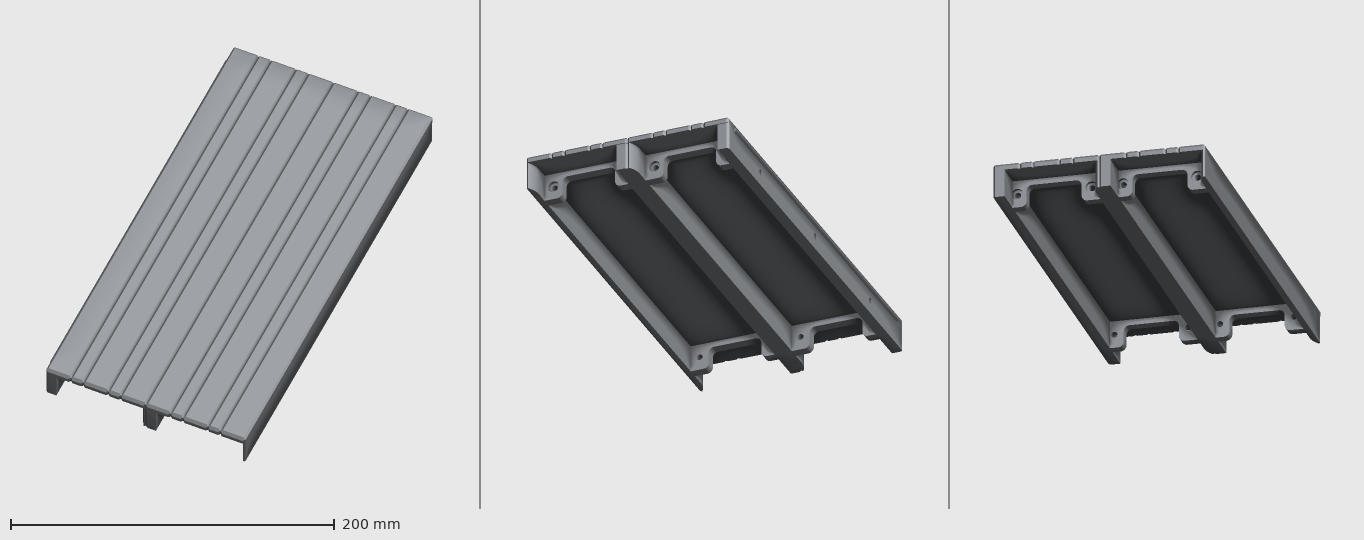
import cadquery as cq
import math

LENGTH = 281.5
HEIGHT = 22.0
WIDE_PLANK = 17.0
NARROW_PLANK = 8.5
PLANKS = (WIDE_PLANK, NARROW_PLANK, WIDE_PLANK, NARROW_PLANK, WIDE_PLANK)
MODULE_WIDTH = sum(PLANKS)
MODULE_COUNT = 2
HALF_LENGTH = LENGTH / 2
HALF_WIDTH = MODULE_WIDTH * MODULE_COUNT / 2
MODULE_STARTS = [-HALF_WIDTH + i * MODULE_WIDTH for i in range(MODULE_COUNT)]

GROOVE_DEPTH = 1.27
DECK_THICKNESS = 4.2
DECK_BOTTOM = HEIGHT - DECK_THICKNESS
END_CHAMFER = 1.7

LEFT_WALL = 7.3
RIGHT_WALL = 4.2
REAR_SETBACK = 0.5
WALL_REAR = HALF_LENGTH - REAR_SETBACK
TAPER_LENGTH = 9.9
TAPER_TIP = 0.8

RIB_SETBACK = 19.7
RIB_THICKNESS = 6.8
OPENING_WIDTH = 35.2
OPENING_HEIGHT = 14.0
OPENING_RADIUS = 3.7

HOLE_DIAMETER = 4.0
COUNTERBORE_DIAMETER = 7.3
COUNTERBORE_DEPTH = 2.3
HOLE_HEIGHT = 8.7
RIB_HOLE_OFFSET = 23.7
SIDE_HOLE_PITCH = 88.5
SIDE_HOLE_DEPTH = 1.0

TONGUE_LENGTH = 262.5
TONGUE_REACH = 1.5
TONGUE_HEIGHT = 17.2
TONGUE_ROOT = 3.0
TONGUE_TIP = 0.8


def box(x_range, y_range, z_range):
    """Box spanning the given (low, high) range along each axis."""
    lows, highs = zip(x_range, y_range, z_range)
    sizes = [high - low for low, high in zip(lows, highs)]
    return cq.Workplane("XY").box(*sizes, centered=False).translate(lows)


def make_deck():
    """Top plate with both end edges chamfered."""
    deck = box((-HALF_WIDTH, HALF_WIDTH), (-HALF_LENGTH, HALF_LENGTH), (DECK_BOTTOM, HEIGHT))
    return deck.faces(">Z").edges("|X").chamfer(END_CHAMFER)


def make_right_wall(x_end):
    """Thin wall whose inner face curves outward to a narrow tip at both ends."""
    x_inner = x_end - RIGHT_WALL
    taper_width = RIGHT_WALL - TAPER_TIP
    radius = (TAPER_LENGTH**2 + taper_width**2) / (2 * taper_width)
    half_angle = math.atan2(taper_width, TAPER_LENGTH)
    x_middle = x_inner + radius * (1 - math.cos(half_angle))
    y_middle = TAPER_LENGTH - radius * math.sin(half_angle)
    return (
        cq.Workplane("XY")
        .moveTo(x_end, -HALF_LENGTH)
        .lineTo(x_end - TAPER_TIP, -HALF_LENGTH)
        .threePointArc((x_middle, -HALF_LENGTH + y_middle), (x_inner, -HALF_LENGTH + TAPER_LENGTH))
        .lineTo(x_inner, WALL_REAR - TAPER_LENGTH)
        .threePointArc((x_middle, WALL_REAR - y_middle), (x_end - TAPER_TIP, WALL_REAR))
        .lineTo(x_end, WALL_REAR)
        .close()
        .extrude(DECK_BOTTOM)
    )


def make_rib(x_start):
    """Cross rib at the front end, with a rounded opening and two counterbored holes."""
    x_mid = x_start + MODULE_WIDTH / 2
    x_left = x_mid - OPENING_WIDTH / 2
    x_right = x_mid + OPENING_WIDTH / 2
    x_end = x_start + MODULE_WIDTH - RIGHT_WALL
    y_front = -HALF_LENGTH + RIB_SETBACK
    rib = (
        cq.Workplane("XZ", origin=(0, y_front, 0))
        .polyline([
            (x_start, 0),
            (x_left, 0),
            (x_left, OPENING_HEIGHT),
            (x_right, OPENING_HEIGHT),
            (x_right, 0),
            (x_end, 0),
            (x_end, DECK_BOTTOM),
            (x_start, DECK_BOTTOM),
        ])
        .close()
        .extrude(-RIB_THICKNESS)
    )
    for x in (x_left, x_right):
        opening_side = cq.selectors.BoxSelector(
            (x - OPENING_RADIUS, -HALF_LENGTH, -OPENING_RADIUS),
            (x + OPENING_RADIUS, HALF_LENGTH, OPENING_HEIGHT + OPENING_RADIUS),
        )
        rib = rib.edges("|Y").edges(opening_side).fillet(OPENING_RADIUS)
    for x in (x_mid - RIB_HOLE_OFFSET, x_mid + RIB_HOLE_OFFSET):
        hole_start = cq.Workplane("XZ", origin=(x, y_front, HOLE_HEIGHT))
        rib = rib.cut(hole_start.circle(HOLE_DIAMETER / 2).extrude(-RIB_THICKNESS))
        rib = rib.cut(hole_start.circle(COUNTERBORE_DIAMETER / 2).extrude(-COUNTERBORE_DEPTH))
    return rib


def make_module_frame(x_start):
    """Two long walls joined by a cross rib near each end."""
    left_wall = box((x_start, x_start + LEFT_WALL), (-HALF_LENGTH, WALL_REAR), (0, DECK_BOTTOM))
    rib = make_rib(x_start)
    right_wall = make_right_wall(x_start + MODULE_WIDTH)
    return left_wall.union(right_wall).union(rib).union(rib.mirror("XZ"))


def vee(workplane, x, surface):
    """V groove outline sunk below the given surface level."""
    return workplane.polyline([
        (x - GROOVE_DEPTH, surface),
        (x, surface - GROOVE_DEPTH),
        (x + GROOVE_DEPTH, surface),
    ]).close()


def make_deck_groove(x):
    """V groove along the top of the deck that turns down both of its ends."""
    top = vee(cq.Workplane("XZ", origin=(0, HALF_LENGTH, 0)), x, HEIGHT).extrude(LENGTH)
    end_sketch = vee(cq.Workplane("XY", origin=(0, 0, DECK_BOTTOM)), x, HALF_LENGTH)
    rear = end_sketch.extrude(DECK_THICKNESS)
    return top.union(rear).union(rear.mirror("XZ"))


def make_wall_groove(x):
    """V grooves down the front and rear ends of the walls meeting at x."""
    front = vee(cq.Workplane("XY"), x, HALF_LENGTH).extrude(DECK_BOTTOM).mirror("XZ")
    rear = vee(cq.Workplane("XY"), x, WALL_REAR).extrude(DECK_BOTTOM)
    return front.union(rear)


def make_side_hole(y):
    """Blind screw hole in the outer left wall."""
    hole_start = cq.Workplane("YZ", origin=(-HALF_WIDTH, y, HOLE_HEIGHT))
    return hole_start.circle(HOLE_DIAMETER / 2).extrude(SIDE_HOLE_DEPTH)


def make_tongue():
    """Tapered tongue along the left side."""
    x_tip = -HALF_WIDTH - TONGUE_REACH
    return (
        cq.Workplane("XZ", origin=(0, TONGUE_LENGTH / 2, 0))
        .polyline([
            (-HALF_WIDTH, TONGUE_HEIGHT - TONGUE_ROOT / 2),
            (-HALF_WIDTH, TONGUE_HEIGHT + TONGUE_ROOT / 2),
            (x_tip, TONGUE_HEIGHT + TONGUE_TIP / 2),
            (x_tip, TONGUE_HEIGHT - TONGUE_TIP / 2),
        ])
        .close()
        .extrude(TONGUE_LENGTH)
    )


result = make_deck().cut(make_deck_groove(-HALF_WIDTH))
for module_start in MODULE_STARTS:
    plank_edge = module_start
    for plank in PLANKS:
        plank_edge += plank
        result = result.cut(make_deck_groove(plank_edge))

for module_start in MODULE_STARTS:
    result = result.union(make_module_frame(module_start))
for module_edge in MODULE_STARTS + [HALF_WIDTH]:
    result = result.cut(make_wall_groove(module_edge))

for hole_y in (-SIDE_HOLE_PITCH, 0, SIDE_HOLE_PITCH):
    result = result.cut(make_side_hole(hole_y))
result = result.union(make_tongue())